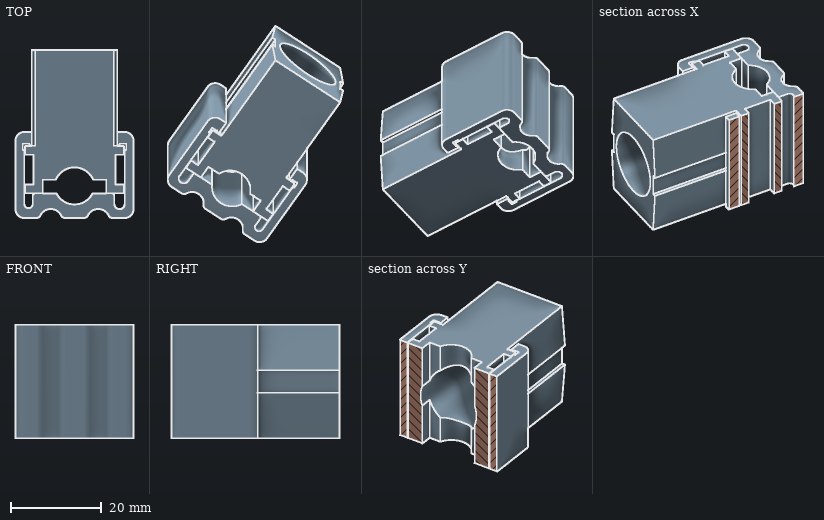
import cadquery as cq
import math

height = 25.0
total_depth = 37.0
mid_z = height / 2

clip_half_width = 26.0 / 2
clip_depth = 18.98
clip_wall = 2.0
clip_corner_radius = 2.0
floor_y = 5.45
lip_y = 16.0
lip_half_gap = 9.45
cavity_half_width = clip_half_width - clip_wall

relief_depth = 0.35
relief_inner_x = 9.95
relief_front_y = 15.02
lip_edge_radius = 0.25

left_slot_width = 1.8
left_slot_end_y = 2.22
right_slot_width = 2.22
right_slot_end_y = 2.0
slot_mouth_radius = 0.5

groove_radius = 2.5
groove_depth = 2.0
groove_edge_radius = 1.0
groove_x = 5.2

passage_radius = 4.48
clip_passage_y = 7.5
block_passage_y = 6.65

flange_half_width = 10.9
lip_clearance = 0.07
flange_rear_y = lip_y - lip_clearance
flange_thickness = 2.0
flange_corner_radius = 0.3
head_half_width = 9.05
pocket_half_width = 6.95
pocket_depth = 2.95
bore_radius = 7.4

tail_half_width = 8.62
band_height = 5.0


def prism(sketch):
    """Extrude a plan outline over the full height."""
    return sketch.extrude(height)


def block_between(x_start, x_end, y_start, y_end):
    """Full-height rectangular block between the given plan limits."""
    return prism(
        cq.Workplane("XY")
        .center((x_start + x_end) / 2, (y_start + y_end) / 2)
        .rect(abs(x_end - x_start), y_end - y_start)
    )


def passage_cylinder(centre_y):
    return prism(cq.Workplane("XY").center(0, centre_y).circle(passage_radius))


def fillet_vertical_edge(body, x, y, radius):
    """Round the full-height edge that passes through the plan point (x, y)."""
    return body.edges(cq.selectors.NearestToPointSelector((x, y, mid_z))).fillet(radius)


def finger_groove(centre_x):
    """Concave arc blended into the flat front face by a convex arc on each side."""
    circle_y = groove_depth - groove_radius
    reach = groove_radius + groove_edge_radius
    rise = groove_edge_radius - circle_y
    half_mouth = math.sqrt(reach**2 - rise**2)
    blend_x = half_mouth * groove_radius / reach
    blend_y = circle_y + rise * groove_radius / reach
    half_sweep = math.atan2(half_mouth, rise) / 2
    edge_x = half_mouth - groove_edge_radius * math.sin(half_sweep)
    edge_y = groove_edge_radius - groove_edge_radius * math.cos(half_sweep)
    return prism(
        cq.Workplane("XY")
        .center(centre_x, 0)
        .moveTo(-half_mouth, 0)
        .threePointArc((-edge_x, edge_y), (-blend_x, blend_y))
        .threePointArc((0, groove_depth), (blend_x, blend_y))
        .threePointArc((edge_x, edge_y), (half_mouth, 0))
        .close()
    )


def round_ended_slot(side, width, end_y):
    """Slot that runs forward from the cavity along one side wall."""
    radius = width / 2
    outer_x = side * cavity_half_width
    inner_x = side * (cavity_half_width - width)
    centre_x = side * (cavity_half_width - radius)
    return prism(
        cq.Workplane("XY")
        .moveTo(outer_x, floor_y)
        .lineTo(outer_x, end_y + radius)
        .threePointArc((centre_x, end_y), (inner_x, end_y + radius))
        .lineTo(inner_x, floor_y)
        .close()
    )


def make_clip():
    clip = block_between(-clip_half_width, clip_half_width, 0, clip_depth)
    clip = clip.edges("|Z").fillet(clip_corner_radius)

    clip = clip.cut(block_between(-cavity_half_width, cavity_half_width, floor_y, lip_y))
    clip = clip.cut(block_between(-lip_half_gap, lip_half_gap, lip_y, clip_depth))

    for side, width, end_y in (
        (-1, left_slot_width, left_slot_end_y),
        (1, right_slot_width, right_slot_end_y),
    ):
        clip = clip.cut(round_ended_slot(side, width, end_y))
        mouth_x = side * (cavity_half_width - width)
        clip = fillet_vertical_edge(clip, mouth_x, floor_y, slot_mouth_radius)

        relief_outer_x = cavity_half_width + relief_depth
        relief = block_between(
            side * relief_inner_x, side * relief_outer_x, relief_front_y, lip_y + relief_depth
        )
        clip = clip.cut(relief)
        clip = fillet_vertical_edge(clip, side * relief_inner_x, lip_y, lip_edge_radius)

        clip = clip.cut(finger_groove(side * groove_x))

    return clip.cut(passage_cylinder(clip_passage_y))


def make_tail():
    """Tail profile in the XZ plane, run from the rear flange to the back end."""
    band_bottom = mid_z - band_height / 2
    band_top = mid_z + band_height / 2
    right_side = [
        (tail_half_width, 0),
        (lip_half_gap, band_bottom),
        (tail_half_width, band_bottom),
        (tail_half_width, band_top),
        (lip_half_gap, band_top),
        (tail_half_width, height),
    ]
    left_side = [(-x, z) for x, z in reversed(right_side)]
    return (
        cq.Workplane("XZ", origin=(0, flange_rear_y, 0))
        .polyline(right_side + left_side)
        .close()
        .extrude(flange_rear_y - total_depth)
    )


def make_block():
    head = block_between(-flange_half_width, flange_half_width, floor_y, flange_rear_y)
    head = head.edges("|Z").fillet(flange_corner_radius)

    for side in (-1, 1):
        head = head.cut(
            block_between(
                side * head_half_width,
                side * flange_half_width,
                floor_y + flange_thickness,
                flange_rear_y - flange_thickness,
            )
        )

    block = head.union(make_tail())

    block = block.cut(
        block_between(-pocket_half_width, pocket_half_width, floor_y, floor_y + pocket_depth)
    )
    block = block.cut(passage_cylinder(block_passage_y))

    bore = (
        cq.Workplane("XZ", origin=(0, floor_y, mid_z))
        .circle(bore_radius)
        .extrude(floor_y - total_depth)
    )
    return block.cut(bore)


clip = make_clip()
block = make_block()

result = cq.Compound.makeCompound([clip.val(), block.val()])